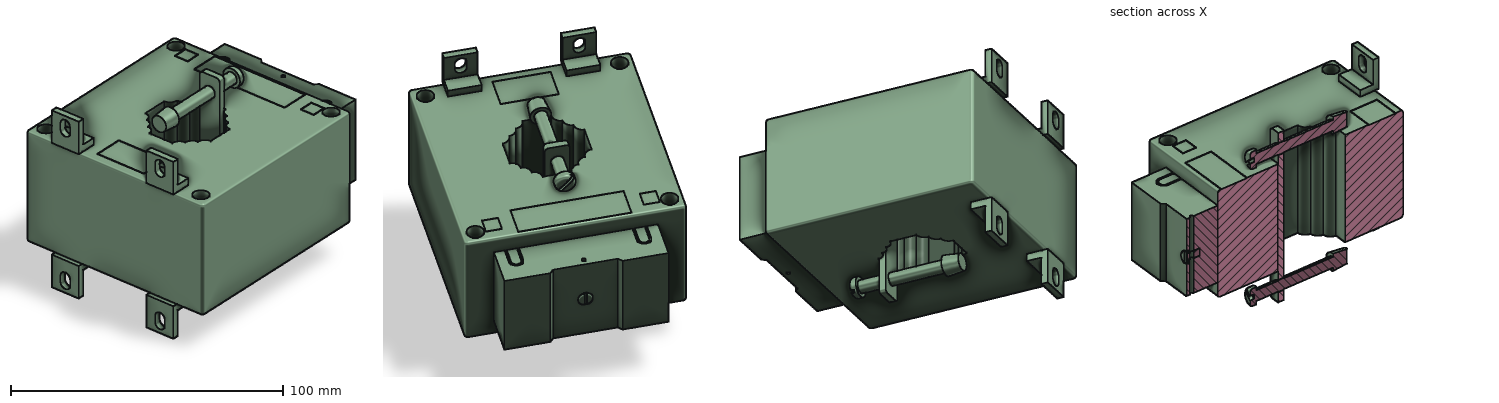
import cadquery as cq
import math

OVERLAP = 1.0

overall_length = 103.0
housing_width = 84.0
housing_depth = 48.0
housing_start = 1.0
housing_length = 86.0
housing_end = housing_start + housing_length
edge_radius = 1.4
face_z = housing_depth / 2

window_size = 31.0
window_flat = 11.0
window_y = 43.5
scallops_per_corner = 3

pocket_diameter = 6.5
pocket_inset = 5.3
pocket_depth = 6.2

panel_depth = 0.2
rating_panel = (42.8, 11.9)
rating_panel_y = 79.5
marking_panel = (22.0, 12.4)
marking_panel_y = 10.9
terminal_panel = (6.1, 6.1)
terminal_panel_x = 29.9
terminal_panel_y = 79.4

foot_width = 12.8
foot_spacing = 44.9
foot_thickness = 2.7
foot_base_length = 8.7
foot_base_height = 3.0
foot_top = 38.0
foot_slot_width = 4.5
foot_slot_length = 7.1
foot_slot_z = 32.8

cover_width = 62.1
cover_depth = 34.5
notch_width = 27.4
notch_floor_width = 24.5
notch_depth = 1.5
notch_floor_y = overall_length - notch_depth
wire_hole_diameter = 1.5
wire_hole_y = 99.0
groove_spacing = 48.4
groove_outer_radius = 2.7
groove_width = 0.7
groove_depth = 0.5
groove_arc_y = 93.4

seal_head_diameter = 5.7
seal_head_height = 1.5
seal_head_projection = 0.7
seal_dome_radius = 0.7
seal_shank_diameter = 3.0
seal_shank_length = 5.2
seal_slot_width = 1.0
seal_slot_depth = 0.9
seal_head_bottom = notch_floor_y + seal_head_projection - seal_head_height

bar_width = 9.5
bar_thickness = 2.7
bar_length = 75.6
bar_corner_radius = 1.5
bar_end_y = window_y + window_size / 2

bolt_z = 30.5
bolt_shank_diameter = 5.0
bolt_head_diameter = 8.0
bolt_head_height = 3.1
bolt_dome_radius = 1.5
bolt_slot_width = 1.2
bolt_slot_depth = 1.9
bolt_slot_angle = 45.0
bolt_tip_end_diameter = 6.7
bolt_tip_length = 6.7
bolt_end_y = 27.0
bolt_head_y = 72.1


def box(width, length, depth, y):
    """Box centred in X and Z that starts at y and runs towards +Y."""
    return cq.Workplane("XY").box(width, length, depth, centered=(True, False, True)).translate((0, y, 0))


def y_cylinder(diameter, length, y, z=0.0):
    """Cylinder parallel to Y that starts at y and runs towards +Y."""
    return cq.Workplane("XZ").circle(diameter / 2).extrude(-length).translate((0, y, z))


def turned(x, y, quarter_turns):
    """Point (x, y) turned about the origin by a number of quarter turns."""
    for _ in range(quarter_turns):
        x, y = -y, x
    return x, y


def window_cutter():
    """Prism of the window: a flat on each side, joined by quarter-round scallops at the corners."""
    half = window_size / 2
    half_flat = window_flat / 2
    scallop = (half - half_flat) / scallops_per_corner
    sag = scallop * math.sqrt(0.5)
    outline = cq.Workplane("XY").moveTo(half, -half_flat).lineTo(half, half_flat)
    for turn in range(4):
        for step in range(scallops_per_corner):
            cx = half - step * scallop
            cy = half_flat + (step + 1) * scallop
            middle = turned(cx - sag, cy - sag, turn)
            end = turned(cx - scallop, cy, turn)
            outline = outline.threePointArc(middle, end)
        if turn < 3:
            outline = outline.lineTo(*turned(-half_flat, half, turn))
    prism = outline.close().extrude(housing_depth + 2 * OVERLAP)
    return prism.translate((0, window_y, -face_z - OVERLAP))


def make_foot(x, side):
    """L-shaped foot on the upper (side = 1) or lower (side = -1) face, with an obround hole."""
    profile = [
        (0, face_z),
        (foot_base_length, face_z),
        (foot_base_length, face_z + foot_base_height),
        (foot_thickness, face_z + foot_base_height),
        (foot_thickness, foot_top),
        (0, foot_top),
    ]
    foot = cq.Workplane("YZ").polyline(profile).close().extrude(foot_width / 2, both=True)
    hole = (
        cq.Workplane("XZ")
        .center(0, foot_slot_z)
        .slot2D(foot_slot_length, foot_slot_width, 90)
        .extrude(foot_thickness + OVERLAP, both=True)
    )
    foot = foot.cut(hole)
    if side < 0:
        foot = foot.mirror("XY")
    return foot.translate((x, 0, 0))


def corner_pockets():
    """Cutters for the blind round pockets in the corners of the upper face."""
    pocket_x = housing_width / 2 - pocket_inset
    pocket_ys = (housing_start + pocket_inset, housing_end - pocket_inset)
    centres = [(x, y) for x in (-pocket_x, pocket_x) for y in pocket_ys]
    upper_face = cq.Workplane("XY", origin=(0, 0, face_z))
    return upper_face.pushPoints(centres).circle(pocket_diameter / 2).extrude(-pocket_depth)


def label_panel(size, x, y):
    """Cutter for one sunken rectangular panel of the upper face, centred at (x, y)."""
    return cq.Workplane("XY", origin=(x, y, face_z)).rect(*size).extrude(-panel_depth)


def make_housing():
    """Rounded block with the window, corner pockets and label panels, and its four feet."""
    housing = box(housing_width, housing_length, housing_depth, y=housing_start)
    housing = housing.edges().fillet(edge_radius)
    housing = housing.cut(window_cutter()).cut(corner_pockets())

    housing = housing.cut(label_panel(rating_panel, 0, rating_panel_y))
    housing = housing.cut(label_panel(marking_panel, 0, marking_panel_y))
    for x in (-terminal_panel_x, terminal_panel_x):
        housing = housing.cut(label_panel(terminal_panel, x, terminal_panel_y))

    for x in (-foot_spacing / 2, foot_spacing / 2):
        for side in (1, -1):
            housing = housing.union(make_foot(x, side))
    return housing


def arch(radius, x):
    """Arch-shaped plate below the upper cover face, round at +Y and open at the housing."""
    top_z = cover_depth / 2
    return (
        cq.Workplane("XY", origin=(x, 0, top_z))
        .moveTo(-radius, housing_end)
        .lineTo(-radius, groove_arc_y)
        .threePointArc((0, groove_arc_y + radius), (radius, groove_arc_y))
        .lineTo(radius, housing_end)
        .close()
        .extrude(-groove_depth)
    )


def wire_hole():
    """Sealing-wire hole parallel to Z, shared by the cover and the seal screw."""
    drill = cq.Workplane("XY").circle(wire_hole_diameter / 2).extrude(cover_depth, both=True)
    return drill.translate((0, wire_hole_y, 0))


def make_cover():
    """Terminal cover with a rear notch, two arch-shaped grooves and the seat of the seal screw."""
    profile = [
        (-cover_width / 2, housing_end),
        (cover_width / 2, housing_end),
        (cover_width / 2, overall_length),
        (notch_width / 2, overall_length),
        (notch_floor_width / 2, notch_floor_y),
        (-notch_floor_width / 2, notch_floor_y),
        (-notch_width / 2, overall_length),
        (-cover_width / 2, overall_length),
    ]
    cover = cq.Workplane("XY").polyline(profile).close().extrude(cover_depth / 2, both=True)
    for x in (-groove_spacing / 2, groove_spacing / 2):
        groove = arch(groove_outer_radius, x).cut(arch(groove_outer_radius - groove_width, x))
        cover = cover.cut(groove)

    head_recess = y_cylinder(seal_head_diameter, seal_head_height, seal_head_bottom)
    shank_hole = y_cylinder(seal_shank_diameter, seal_shank_length, seal_head_bottom - seal_shank_length)
    return cover.cut(head_recess).cut(shank_hole).cut(wire_hole())


def slotted_head(diameter, height, dome_radius, slot_width, slot_depth, y):
    """Round screw head from y to y + height, domed at +Y, with a driver slot parallel to Z."""
    head = y_cylinder(diameter, height, y).faces(">Y").edges().fillet(dome_radius)
    slot = box(slot_width, slot_depth + OVERLAP, diameter + OVERLAP, y=y + height - slot_depth)
    return head.cut(slot)


def make_seal_screw():
    """Slotted screw sunk in the notch floor and drilled for the sealing wire."""
    head = slotted_head(
        seal_head_diameter, seal_head_height, seal_dome_radius,
        seal_slot_width, seal_slot_depth, seal_head_bottom,
    )
    shank = y_cylinder(seal_shank_diameter, seal_shank_length, seal_head_bottom - seal_shank_length)
    return head.union(shank).cut(wire_hole())


def make_busbar():
    """Flat bar through the window, with rounded end corners and a bolt hole at each end."""
    bar = box(bar_width, bar_thickness, bar_length, y=bar_end_y - bar_thickness)
    bar = bar.edges("|Y").fillet(bar_corner_radius)
    for z in (-bolt_z, bolt_z):
        hole = y_cylinder(bolt_shank_diameter, bar_thickness, bar_end_y - bar_thickness, z)
        bar = bar.cut(hole)
    return bar


def make_bolt(side):
    """Bolt with a slotted head and a tapered tip, above (side = 1) or below (side = -1) the housing."""
    head_bottom = bolt_head_y - bolt_head_height
    head = slotted_head(
        bolt_head_diameter, bolt_head_height, bolt_dome_radius,
        bolt_slot_width, bolt_slot_depth, head_bottom,
    )
    head = head.rotate((0, 0, 0), (0, 1, 0), -bolt_slot_angle)
    shank = y_cylinder(bolt_shank_diameter, head_bottom - bolt_end_y, bolt_end_y)
    tip = (
        cq.Workplane("XZ", origin=(0, bolt_end_y, 0))
        .circle(bolt_tip_end_diameter / 2)
        .workplane(offset=-bolt_tip_length)
        .circle(bolt_head_diameter / 2)
        .loft()
    )
    bolt = head.union(shank).union(tip).translate((0, 0, bolt_z))
    return bolt if side > 0 else bolt.mirror("XY")


housing = make_housing()
cover = make_cover()
seal_screw = make_seal_screw()
busbar = make_busbar()
bolts = [make_bolt(side) for side in (1, -1)]

result = cq.Compound.makeCompound(
    [housing.val(), cover.val(), seal_screw.val(), busbar.val(), *[bolt.val() for bolt in bolts]]
)